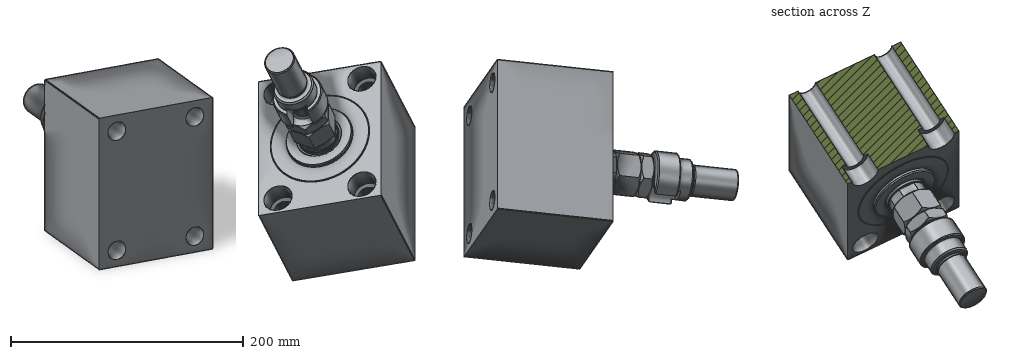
import cadquery as cq
import math


OVERALL_LENGTH = 226.5

HOUSING_LENGTH = 103.0
HOUSING_WIDTH = 110.0
HOUSING_HEIGHT = 140.0
HOUSING_EDGE_CHAMFER = 0.7
BOLT_SPACING_Y = 75.2
BOLT_SPACING_Z = 110.0
BOLT_HOLE_DIAMETER = 17.0
COUNTERBORE_DIAMETER = 25.1
COUNTERBORE_DEPTH = 18.1

GLAND_DIAMETER = 88.8
GLAND_DEPTH = 22.6
GLAND_EDGE_CHAMFER = 0.7
GLAND_COLLAR_DIAMETER = 59.3
GLAND_COLLAR_HEIGHT = 3.5
GLAND_COLLAR_CHAMFER_LENGTH = 1.4
GLAND_COLLAR_CHAMFER_HEIGHT = 0.7
WIPER_RECESS_DIAMETER = 40.3
WIPER_RECESS_DEPTH = 1.1

ROD_DIAMETER = 36.0
ROD_PROTRUSION = 5.5
ROD_EDGE_CHAMFER = 0.7
FLATS_DIAMETER = 35.0
FLATS_ACROSS = 32.0
FLATS_LENGTH = 8.2
ROD_HEX_LENGTH = 21.7
STUD_DIAMETER = 24.0
NECK_DIAMETER = 18.3
STUD_PROTRUSION = 1.5

HEX_ACROSS_FLATS = 36.0
HEX_ACROSS_CORNERS = HEX_ACROSS_FLATS / math.cos(math.radians(30))
HEX_FACE_DIAMETER = 35.0
HEX_CHAMFER_LENGTH = 2.3
NUT_LENGTH = 11.5

PIN_DIAMETER = 27.0
PIN_LENGTH = 39.2
PIN_CHAMFER = 1.0
RELIEF_DIAMETER = 24.5
RELIEF_LENGTH = 2.0
SHOULDER_DIAMETER = 36.0
SHOULDER_LENGTH = 12.7
SHOULDER_CHAMFER = 1.4
COLLAR_DIAMETER = 44.2
COLLAR_LENGTH = 20.2
COLLAR_FRONT_CHAMFER = 1.0
COLLAR_REAR_CHAMFER = 1.1
SLOT_LENGTH = 23.3

ROD_STEP_X = -ROD_PROTRUSION
ROD_HEX_REAR_X = ROD_STEP_X - FLATS_LENGTH
NUT_REAR_X = ROD_HEX_REAR_X - ROD_HEX_LENGTH
NUT_FRONT_X = NUT_REAR_X - NUT_LENGTH
STUD_TIP_X = NUT_FRONT_X - STUD_PROTRUSION
COUPLING_FRONT_X = HOUSING_LENGTH - OVERALL_LENGTH
RELIEF_X = COUPLING_FRONT_X + PIN_LENGTH
SHOULDER_X = RELIEF_X + RELIEF_LENGTH
COLLAR_X = SHOULDER_X + SHOULDER_LENGTH
COLLAR_REAR_X = COLLAR_X + COLLAR_LENGTH
SLOT_FRONT_X = COLLAR_REAR_X - SLOT_LENGTH


def cylinder(start_x, end_x, diameter):
    """Cylinder on the X axis between two stations."""
    return cq.Workplane("YZ", origin=(start_x, 0, 0)).circle(diameter / 2).extrude(end_x - start_x)


def revolve_profile(points):
    """Solid of revolution about the X axis from a closed outline of (x, radius) points."""
    return cq.Workplane("XY").polyline(points).close().revolve(360, (0, 0, 0), (1, 0, 0))


def chamfered_hexagon(start_x, end_x):
    """Hexagon bar with two corners on the Z axis and its corners turned down at both ends."""
    bar = (
        cq.Workplane("YZ", origin=(start_x, 0, 0))
        .transformed(rotate=(0, 0, 90))
        .polygon(6, HEX_ACROSS_CORNERS)
        .extrude(end_x - start_x)
    )
    face_radius = HEX_FACE_DIAMETER / 2
    corner_radius = HEX_ACROSS_CORNERS / 2
    envelope = revolve_profile(
        [
            (start_x, 0),
            (start_x, face_radius),
            (start_x + HEX_CHAMFER_LENGTH, corner_radius),
            (end_x - HEX_CHAMFER_LENGTH, corner_radius),
            (end_x, face_radius),
            (end_x, 0),
        ]
    )
    return bar.intersect(envelope)


def bolt_pattern(diameter, depth):
    """Cylinders at the four bolt positions, from the front face of the housing."""
    return (
        cq.Workplane("YZ")
        .rect(BOLT_SPACING_Y, BOLT_SPACING_Z, forConstruction=True)
        .vertices()
        .circle(diameter / 2)
        .extrude(depth)
    )


def make_housing():
    block = cq.Workplane("XY").box(
        HOUSING_LENGTH, HOUSING_WIDTH, HOUSING_HEIGHT, centered=(False, True, True)
    )
    block = block.edges("|X").chamfer(HOUSING_EDGE_CHAMFER)
    bolt_holes = bolt_pattern(BOLT_HOLE_DIAMETER, HOUSING_LENGTH)
    counterbores = bolt_pattern(COUNTERBORE_DIAMETER, COUNTERBORE_DEPTH)
    gland_recess = cylinder(0, GLAND_DEPTH, GLAND_DIAMETER)
    return block.cut(bolt_holes).cut(counterbores).cut(gland_recess)


def make_gland():
    disc = cylinder(0, GLAND_DEPTH, GLAND_DIAMETER).faces("<X").chamfer(GLAND_EDGE_CHAMFER)
    radius = GLAND_COLLAR_DIAMETER / 2
    collar = revolve_profile(
        [
            (0, 0),
            (-GLAND_COLLAR_HEIGHT, 0),
            (-GLAND_COLLAR_HEIGHT, radius - GLAND_COLLAR_CHAMFER_HEIGHT),
            (-GLAND_COLLAR_HEIGHT + GLAND_COLLAR_CHAMFER_LENGTH, radius),
            (0, radius),
        ]
    )
    rod_bore = cylinder(-GLAND_COLLAR_HEIGHT, GLAND_DEPTH, ROD_DIAMETER)
    wiper_recess = cylinder(
        -GLAND_COLLAR_HEIGHT, -GLAND_COLLAR_HEIGHT + WIPER_RECESS_DEPTH, WIPER_RECESS_DIAMETER
    )
    return disc.union(collar).cut(rod_bore).cut(wiper_recess)


def make_stud():
    """Threaded stud of the rod, tapered at its tip down to the neck."""
    stud_chamfer = (STUD_DIAMETER - NECK_DIAMETER) / 2
    return revolve_profile(
        [
            (STUD_TIP_X, 0),
            (STUD_TIP_X, NECK_DIAMETER / 2),
            (STUD_TIP_X + stud_chamfer, STUD_DIAMETER / 2),
            (NUT_REAR_X, STUD_DIAMETER / 2),
            (NUT_REAR_X, 0),
        ]
    )


def make_rod():
    shaft = cylinder(ROD_STEP_X, GLAND_DEPTH, ROD_DIAMETER).faces("<X").chamfer(ROD_EDGE_CHAMFER)
    flats = cylinder(ROD_HEX_REAR_X, ROD_STEP_X, FLATS_DIAMETER)
    square = cq.Workplane("XY").box(FLATS_LENGTH, FLATS_ACROSS, FLATS_ACROSS)
    flats = flats.intersect(square.translate(((ROD_HEX_REAR_X + ROD_STEP_X) / 2, 0, 0)))
    hexagon = chamfered_hexagon(NUT_REAR_X, ROD_HEX_REAR_X)
    neck = cylinder(SLOT_FRONT_X, STUD_TIP_X, NECK_DIAMETER)
    return shaft.union(flats).union(hexagon).union(make_stud()).union(neck)


def make_lock_nut():
    return chamfered_hexagon(NUT_FRONT_X, NUT_REAR_X).cut(make_stud())


def make_neck_slot():
    """Slot open towards -Z, with a round end on the axis that fits the neck."""
    round_end = cylinder(SLOT_FRONT_X, COLLAR_REAR_X, NECK_DIAMETER)
    opening = (
        cq.Workplane("XY")
        .box(SLOT_LENGTH, NECK_DIAMETER, COLLAR_DIAMETER, centered=(False, True, False))
        .translate((SLOT_FRONT_X, 0, -COLLAR_DIAMETER))
    )
    return round_end.union(opening)


def make_coupling():
    pin = cylinder(COUPLING_FRONT_X, RELIEF_X, PIN_DIAMETER).faces("<X or >X").chamfer(PIN_CHAMFER)
    relief = cylinder(RELIEF_X, SHOULDER_X, RELIEF_DIAMETER)
    shoulder = cylinder(SHOULDER_X, COLLAR_X, SHOULDER_DIAMETER).faces("<X").chamfer(SHOULDER_CHAMFER)
    collar = cylinder(COLLAR_X, COLLAR_REAR_X, COLLAR_DIAMETER)
    collar = collar.faces("<X").chamfer(COLLAR_FRONT_CHAMFER).faces(">X").chamfer(COLLAR_REAR_CHAMFER)
    body = pin.union(relief).union(shoulder).union(collar)
    return body.cut(make_neck_slot())


housing = make_housing()
gland = make_gland()
rod = make_rod()
lock_nut = make_lock_nut()
coupling = make_coupling()

result = cq.Compound.makeCompound(
    [housing.val(), gland.val(), rod.val(), lock_nut.val(), coupling.val()]
)